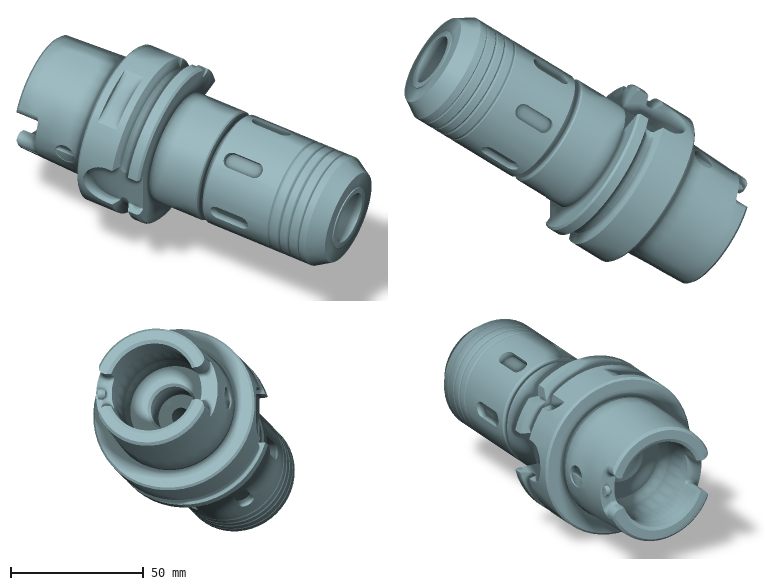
import cadquery as cq
import math


TAPER_END_RADIUS = 22.85
TAPER_BASE_RADIUS = 24.15
TAPER_EDGE_CHAMFER = 1.0
RELIEF_START_X = 30.4
RELIEF_RADIUS = 23.7
FACE_RELIEF_RADIUS = 25.5
FACE_RELIEF_DEPTH = 0.6

FLANGE_START_X = 32.0
FLANGE_LENGTH = 26.0
FLANGE_END_X = FLANGE_START_X + FLANGE_LENGTH
FLANGE_RADIUS = 31.5
FLANGE_CHAMFER = 0.8
GROOVE_CENTRE_X = 50.0
GROOVE_FLOOR_RADIUS = 27.45
GROOVE_FLOOR_HALF_WIDTH = 0.75
GROOVE_BEVEL_RADIUS = 27.75
GROOVE_BEVEL_HALF_WIDTH = 1.65
GROOVE_MOUTH_HALF_WIDTH = 3.4

BODY_RADIUS = 22.0
BODY_END_X = 78.4
BODY_CHAMFER = 0.5
NECK_RADIUS = 17.0
NOSE_RADIUS = 12.3
TOTAL_LENGTH = 132.0

MOUTH_RADIUS = 18.3
MOUTH_CHAMFER_LENGTH = 0.7
CLAMP_BORE_RADIUS = 17.0
CLAMP_FLOOR_RADIUS = 32.53 / 2
CLAMP_BORE_END_X = 12.5
CLAMP_CONE_RADIUS = 33.9 / 2
CLAMP_CONE_START_X = 23.5
CLAMP_FLOOR_X = 30.0
COOLANT_RECESS_RADIUS = 17.0 / 2
COOLANT_RECESS_DEPTH = 12.0
COOLANT_RECESS_CHAMFER = 1.0
COOLANT_HOLE_RADIUS = 6.65 / 2
TOOL_BORE_RADIUS = 20.05 / 2
TOOL_BORE_DEPTH = 70.0

END_SLOT_WIDTH = 12.5
END_SLOT_DEPTH_FRONT = 10.0
END_SLOT_DEPTH_REAR = 6.0
END_SLOT_CORNER = 1.4
END_SLOT_EDGE_ROUND = 3.0

ACCESS_X = 22.9
ACCESS_RADIUS = 4.25
ACCESS_UPPER_FLOOR_Y = 21.5
ACCESS_LOWER_FLOOR_Y = 23.2

KEYWAY_CENTRE_X = 44.5
FRONT_KEYWAY_WIDTH = 19.0
FRONT_KEYWAY_FLOOR_Y = 26.5
FRONT_KEYWAY_FLOOR_FILLET = 0.6
REAR_KEYWAY_WIDTH = 16.0
REAR_KEYWAY_FLOOR_Y = 20.0
NOTCH_WALL_Y = 20.1
NOTCH_FLOOR_Z = 19.5
NOTCH_RUNOUT_X = 45.1
NOTCH_RUNOUT_RADIUS = 8.0
LABEL_START_X = 35.7
LABEL_LENGTH = 8.0
LABEL_ANGLE = 21.6

NUT_START_X = 80.5
NUT_END_X = 109.2
NUT_EDGE_CHAMFER = 0.9
JOINT_CHAMFER = 0.4
CAP_JOINT_CHAMFER = 0.9
CAP_JOINT_DROP = 0.4
CAP_END_X = 131.6
CAP_CONE_START_X = 125.3
CAP_END_RADIUS = 18.2
CAP_GROOVE_WIDTH = 1.2
CAP_GROOVE_DEPTH = 0.6
CAP_GROOVE_CENTRES = (113.8, 117.8)
CAP_NARROW_GROOVE_X = 122.1
CAP_NARROW_GROOVE_WIDTH = 0.8
SLOT_COUNT = 6
FIRST_SLOT_ANGLE = 90.0
SLOT_CENTRE_X = 92.5
SLOT_LENGTH = 16.2
SLOT_WIDTH = 6.1
SLOT_FLOOR_RADIUS = 19.1

PIN_RADIUS = 2.0
PIN_TIP_RADIUS = 1.2
PIN_CENTRE_X = 5.3
PIN_TIP_Y = 19.1
PIN_SHOULDER_Y = 20.3
PIN_END_Y = 21.9

OVERCUT = 5.0


def turned(points):
    """Revolve an (x, radius) outline around the X axis, with its seam on the plain -Z side."""
    outline = [(x, -radius) for x, radius in points]
    return cq.Workplane("XZ").polyline(outline).close().revolve(360, (0, 0, 0), (1, 0, 0))


def box_between(x_range, y_range, z_range):
    size = [high - low for low, high in (x_range, y_range, z_range)]
    corner = (x_range[0], y_range[0], z_range[0])
    return cq.Workplane("XY").box(*size, centered=False).translate(corner)


def shank_and_flange():
    taper_rise = (TAPER_BASE_RADIUS - TAPER_END_RADIUS) / RELIEF_START_X
    return turned([
        (0, 0),
        (0, TAPER_END_RADIUS - TAPER_EDGE_CHAMFER),
        (TAPER_EDGE_CHAMFER, TAPER_END_RADIUS + taper_rise * TAPER_EDGE_CHAMFER),
        (RELIEF_START_X, TAPER_BASE_RADIUS),
        (RELIEF_START_X + TAPER_BASE_RADIUS - RELIEF_RADIUS, RELIEF_RADIUS),
        (FLANGE_START_X + FACE_RELIEF_DEPTH, RELIEF_RADIUS),
        (FLANGE_START_X, FACE_RELIEF_RADIUS),
        (FLANGE_START_X, FLANGE_RADIUS - FLANGE_CHAMFER),
        (FLANGE_START_X + FLANGE_CHAMFER, FLANGE_RADIUS),
        (FLANGE_END_X - FLANGE_CHAMFER, FLANGE_RADIUS),
        (FLANGE_END_X, FLANGE_RADIUS - FLANGE_CHAMFER),
        (FLANGE_END_X, BODY_RADIUS),
        (BODY_END_X - BODY_CHAMFER, BODY_RADIUS),
        (BODY_END_X, BODY_RADIUS - BODY_CHAMFER),
        (BODY_END_X, NECK_RADIUS),
        (NUT_END_X, NECK_RADIUS),
        (NUT_END_X, NOSE_RADIUS),
        (TOTAL_LENGTH, NOSE_RADIUS),
        (TOTAL_LENGTH, 0),
    ])


def gripper_groove():
    """V-groove ring with bevelled floor corners, symmetric about its centre plane."""
    half_outline = [
        (GROOVE_FLOOR_HALF_WIDTH, GROOVE_FLOOR_RADIUS),
        (GROOVE_BEVEL_HALF_WIDTH, GROOVE_BEVEL_RADIUS),
        (GROOVE_MOUTH_HALF_WIDTH, FLANGE_RADIUS),
        (GROOVE_MOUTH_HALF_WIDTH, FLANGE_RADIUS + OVERCUT),
    ]
    left_side = [(GROOVE_CENTRE_X - offset, radius) for offset, radius in half_outline]
    right_side = [(GROOVE_CENTRE_X + offset, radius) for offset, radius in reversed(half_outline)]
    return turned(left_side + right_side)


def inner_bores():
    """Stepped bore from the taper mouth through to the tool bore."""
    recess_end_x = CLAMP_FLOOR_X + COOLANT_RECESS_DEPTH
    tool_bore_x = TOTAL_LENGTH - TOOL_BORE_DEPTH
    return turned([
        (0, 0),
        (0, MOUTH_RADIUS),
        (MOUTH_CHAMFER_LENGTH, CLAMP_BORE_RADIUS),
        (CLAMP_BORE_END_X, CLAMP_BORE_RADIUS),
        (CLAMP_CONE_START_X, CLAMP_CONE_RADIUS),
        (CLAMP_FLOOR_X, CLAMP_FLOOR_RADIUS),
        (CLAMP_FLOOR_X, COOLANT_RECESS_RADIUS + COOLANT_RECESS_CHAMFER),
        (CLAMP_FLOOR_X + COOLANT_RECESS_CHAMFER, COOLANT_RECESS_RADIUS),
        (recess_end_x, COOLANT_RECESS_RADIUS),
        (recess_end_x, COOLANT_HOLE_RADIUS),
        (tool_bore_x, COOLANT_HOLE_RADIUS),
        (tool_bore_x, TOOL_BORE_RADIUS),
        (TOTAL_LENGTH, TOOL_BORE_RADIUS),
        (TOTAL_LENGTH, 0),
    ])


def end_slot(depth):
    """Drive slot on the +Y side whose walls flare out in an arc to the taper surface."""
    half_width = END_SLOT_WIDTH / 2
    arc_centre_z = half_width + END_SLOT_EDGE_ROUND
    arc_centre_y = math.sqrt((TAPER_END_RADIUS - END_SLOT_EDGE_ROUND) ** 2 - arc_centre_z ** 2)
    flare = math.atan2(arc_centre_y, arc_centre_z)
    tip_y = arc_centre_y + END_SLOT_EDGE_ROUND * math.sin(flare)
    tip_z = arc_centre_z + END_SLOT_EDGE_ROUND * math.cos(flare)
    mid_angle = (math.pi + flare) / 2
    mid_y = arc_centre_y + END_SLOT_EDGE_ROUND * math.sin(mid_angle)
    mid_z = arc_centre_z + END_SLOT_EDGE_ROUND * math.cos(mid_angle)
    outer_y = tip_y + OVERCUT
    inner_y = CLAMP_BORE_RADIUS / 2
    cutter = (
        cq.Workplane("YZ")
        .moveTo(inner_y, -half_width)
        .lineTo(arc_centre_y, -half_width)
        .threePointArc((mid_y, -mid_z), (tip_y, -tip_z))
        .lineTo(outer_y, -tip_z)
        .lineTo(outer_y, tip_z)
        .lineTo(tip_y, tip_z)
        .threePointArc((mid_y, mid_z), (arc_centre_y, half_width))
        .lineTo(inner_y, half_width)
        .close()
        .extrude(depth)
    )
    floor_walls = cutter.faces(">X").edges("not |Z").edges("not (>Z or <Z)")
    return floor_walls.fillet(END_SLOT_CORNER)


def access_recess():
    """Round recess on the +Y side, deeper in its upper half than in its lower half."""
    shallow = cq.Workplane("XZ", origin=(ACCESS_X, ACCESS_LOWER_FLOOR_Y, 0))
    deep = cq.Workplane("XZ", origin=(ACCESS_X, ACCESS_UPPER_FLOOR_Y, 0))
    half_disc = (
        deep.moveTo(-ACCESS_RADIUS, 0)
        .threePointArc((0, ACCESS_RADIUS), (ACCESS_RADIUS, 0))
        .close()
        .extrude(-OVERCUT)
    )
    return shallow.circle(ACCESS_RADIUS).extrude(-OVERCUT).union(half_disc)


def keyway(width, floor_y):
    """Round-ended keyway on the +Y side, open toward +X."""
    length = FLANGE_END_X - KEYWAY_CENTRE_X
    plane = cq.Workplane("XZ", origin=(KEYWAY_CENTRE_X, floor_y, 0))
    height = FLANGE_RADIUS + OVERCUT - floor_y
    return (
        plane.moveTo(length, -width / 2)
        .lineTo(0, -width / 2)
        .threePointArc((-width / 2, 0), (0, width / 2))
        .lineTo(length, width / 2)
        .close()
        .extrude(-height)
    )


def front_keyway():
    cutter = keyway(FRONT_KEYWAY_WIDTH, FRONT_KEYWAY_FLOOR_Y)
    cutter = cutter.faces("<Y").edges("not >X").fillet(FRONT_KEYWAY_FLOOR_FILLET)
    return mirrored_to_front(cutter)


def index_notch():
    """Square-cornered notch with an arc run-out toward -X."""
    reach = FLANGE_RADIUS + OVERCUT
    open_part = box_between(
        (NOTCH_RUNOUT_X, FLANGE_END_X), (NOTCH_WALL_Y, reach), (NOTCH_FLOOR_Z, reach)
    )
    runout = (
        cq.Workplane("XZ", origin=(NOTCH_RUNOUT_X, NOTCH_WALL_Y, NOTCH_FLOOR_Z + NOTCH_RUNOUT_RADIUS))
        .circle(NOTCH_RUNOUT_RADIUS)
        .extrude(NOTCH_WALL_Y - reach)
    )
    return open_part.union(runout)


def label_flat():
    """Flat cut along a chord that starts at the top of the flange."""
    chord_distance = FLANGE_RADIUS * math.cos(math.radians(LABEL_ANGLE))
    cutter = box_between(
        (LABEL_START_X, LABEL_START_X + LABEL_LENGTH),
        (-FLANGE_RADIUS, FLANGE_RADIUS),
        (chord_distance, FLANGE_RADIUS + OVERCUT),
    )
    return cutter.rotate((0, 0, 0), (1, 0, 0), LABEL_ANGLE)


def mirrored_to_front(cutter):
    return cutter.mirror("XZ")


def make_pin():
    """Short pin along Y with a coned tip toward the axis."""
    outline = [
        (0, PIN_TIP_Y),
        (PIN_TIP_RADIUS, PIN_TIP_Y),
        (PIN_RADIUS, PIN_SHOULDER_Y),
        (PIN_RADIUS, PIN_END_Y),
        (0, PIN_END_Y),
    ]
    pin = cq.Workplane("XY").polyline(outline).close().revolve(360, (0, 0, 0), (0, 1, 0))
    return pin.translate((PIN_CENTRE_X, 0, 0))


def make_holder(pin):
    return (
        shank_and_flange()
        .cut(gripper_groove())
        .cut(inner_bores())
        .cut(end_slot(END_SLOT_DEPTH_REAR))
        .cut(mirrored_to_front(end_slot(END_SLOT_DEPTH_FRONT)))
        .cut(access_recess())
        .cut(mirrored_to_front(access_recess()))
        .cut(keyway(REAR_KEYWAY_WIDTH, REAR_KEYWAY_FLOOR_Y))
        .cut(front_keyway())
        .cut(index_notch())
        .cut(label_flat())
        .cut(pin)
    )


def nut_slot(angle):
    """Shallow round-ended slot, turned about the axis from the top position."""
    slot = (
        cq.Workplane("XY", origin=(SLOT_CENTRE_X, 0, SLOT_FLOOR_RADIUS))
        .slot2D(SLOT_LENGTH, SLOT_WIDTH)
        .extrude(OVERCUT)
    )
    return slot.rotate((0, 0, 0), (1, 0, 0), angle)


def make_nut():
    nut = turned([
        (NUT_START_X, NECK_RADIUS),
        (NUT_START_X, BODY_RADIUS - NUT_EDGE_CHAMFER),
        (NUT_START_X + NUT_EDGE_CHAMFER, BODY_RADIUS),
        (NUT_END_X - JOINT_CHAMFER, BODY_RADIUS),
        (NUT_END_X, BODY_RADIUS - JOINT_CHAMFER),
        (NUT_END_X, NECK_RADIUS),
    ])
    for index in range(SLOT_COUNT):
        nut = nut.cut(nut_slot(FIRST_SLOT_ANGLE + index * 360 / SLOT_COUNT))
    return nut


def cap_groove(centre_x, width):
    """V-shaped ring groove."""
    return turned([
        (centre_x - width / 2, BODY_RADIUS),
        (centre_x, BODY_RADIUS - CAP_GROOVE_DEPTH),
        (centre_x + width / 2, BODY_RADIUS),
    ])


def make_cap():
    cap = turned([
        (NUT_END_X, NOSE_RADIUS),
        (NUT_END_X, BODY_RADIUS - CAP_JOINT_DROP),
        (NUT_END_X + CAP_JOINT_CHAMFER, BODY_RADIUS),
        (CAP_CONE_START_X, BODY_RADIUS),
        (CAP_END_X, CAP_END_RADIUS),
        (CAP_END_X, NOSE_RADIUS),
    ])
    for centre_x in CAP_GROOVE_CENTRES:
        cap = cap.cut(cap_groove(centre_x, CAP_GROOVE_WIDTH))
    return cap.cut(cap_groove(CAP_NARROW_GROOVE_X, CAP_NARROW_GROOVE_WIDTH))


pin = make_pin()
holder = make_holder(pin)
nut = make_nut()
cap = make_cap()

result = cq.Compound.makeCompound([holder.val(), nut.val(), cap.val(), pin.val()])